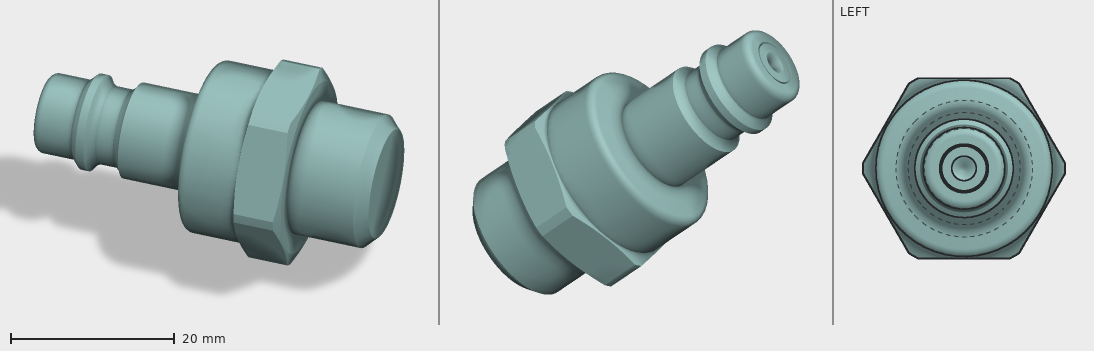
import cadquery as cq
import math

collar_start = 5.0
collar_crest_start = 6.0
collar_crest_end = 7.0
stem_start = 11.45
shoulder_start = 19.98
hex_start = 28.0
hex_end = 34.0
total_length = 44.0

collar_flare_length = 1.15
stem_flare_length = 1.0
flare_radius = 2.5

tip_diameter = 10.0
neck_diameter = 9.75
stem_diameter = 12.0
body_diameter = 21.5
spigot_diameter = 16.68
tip_rounding = 0.95
spigot_chamfer = 1.5

shoulder_angle = math.radians(8)
rim_rounding = 1.0

across_flats = 22.0
across_corners = 24.7
hex_chamfer_length = 0.5

bore_diameter = 5.6
plug_diameter = 5.45
bore_chamfer = 0.18
gap_depth = 1.0
dimple_diameter = 3.0
dimple_half_angle = math.radians(59)
dimple_depth = dimple_diameter / 2 / math.tan(dimple_half_angle)

tip_radius = tip_diameter / 2
neck_radius = neck_diameter / 2
stem_radius = stem_diameter / 2
body_radius = body_diameter / 2
spigot_radius = spigot_diameter / 2


def revolve_about_x(profile):
    return profile.close().revolve(360, (0, 0, 0), (1, 0, 0))


def turned_body():
    rim_centre_radius = body_radius - rim_rounding
    rim_tangent_radius = rim_centre_radius + rim_rounding * math.sin(shoulder_angle)
    rim_tangent_x = shoulder_start + (rim_tangent_radius - stem_radius) * math.tan(shoulder_angle)
    rim_centre_x = rim_tangent_x + rim_rounding * math.cos(shoulder_angle)
    rim_mid_angle = (math.pi / 2 + shoulder_angle) / 2
    diagonal = math.sqrt(0.5)
    profile = (
        cq.Workplane("XY")
        .lineTo(0, tip_radius - tip_rounding)
        .threePointArc(
            (tip_rounding * (1 - diagonal), tip_radius - tip_rounding * (1 - diagonal)),
            (tip_rounding, tip_radius),
        )
        .lineTo(collar_start, tip_radius)
        .lineTo(collar_crest_start, stem_radius)
        .lineTo(collar_crest_end, stem_radius)
        .radiusArc((collar_crest_end + collar_flare_length, neck_radius), -flare_radius)
        .lineTo(stem_start - stem_flare_length, neck_radius)
        .radiusArc((stem_start, stem_radius), -flare_radius)
        .lineTo(shoulder_start, stem_radius)
        .lineTo(rim_tangent_x, rim_tangent_radius)
        .threePointArc(
            (
                rim_centre_x - rim_rounding * math.cos(rim_mid_angle),
                rim_centre_radius + rim_rounding * math.sin(rim_mid_angle),
            ),
            (rim_centre_x, body_radius),
        )
        .lineTo(hex_start, body_radius)
        .lineTo(hex_start, spigot_radius)
        .lineTo(total_length - spigot_chamfer, spigot_radius)
        .lineTo(total_length, spigot_radius - spigot_chamfer)
        .lineTo(total_length, 0)
    )
    return revolve_about_x(profile)


def hexagon():
    corner_radius = across_corners / 2
    prism = (
        cq.Workplane("YZ", origin=(hex_start, 0, 0))
        .polygon(6, across_flats / math.cos(math.pi / 6))
        .extrude(hex_end - hex_start)
    )
    envelope = revolve_about_x(
        cq.Workplane("XY")
        .moveTo(hex_start, 0)
        .lineTo(hex_start, body_radius)
        .lineTo(hex_start + hex_chamfer_length, corner_radius)
        .lineTo(hex_end - hex_chamfer_length, corner_radius)
        .lineTo(hex_end, body_radius)
        .lineTo(hex_end, 0)
    )
    return prism.intersect(envelope)


def plug_gap():
    bore_radius = bore_diameter / 2
    plug_radius = plug_diameter / 2
    return revolve_about_x(
        cq.Workplane("XY")
        .moveTo(0, plug_radius)
        .lineTo(0, bore_radius + bore_chamfer)
        .lineTo(bore_chamfer, bore_radius)
        .lineTo(gap_depth, bore_radius)
        .lineTo(gap_depth, plug_radius)
    )


def plug_dimple():
    return revolve_about_x(cq.Workplane("XY").lineTo(0, dimple_diameter / 2).lineTo(dimple_depth, 0))


result = turned_body().union(hexagon()).cut(plug_gap()).cut(plug_dimple())